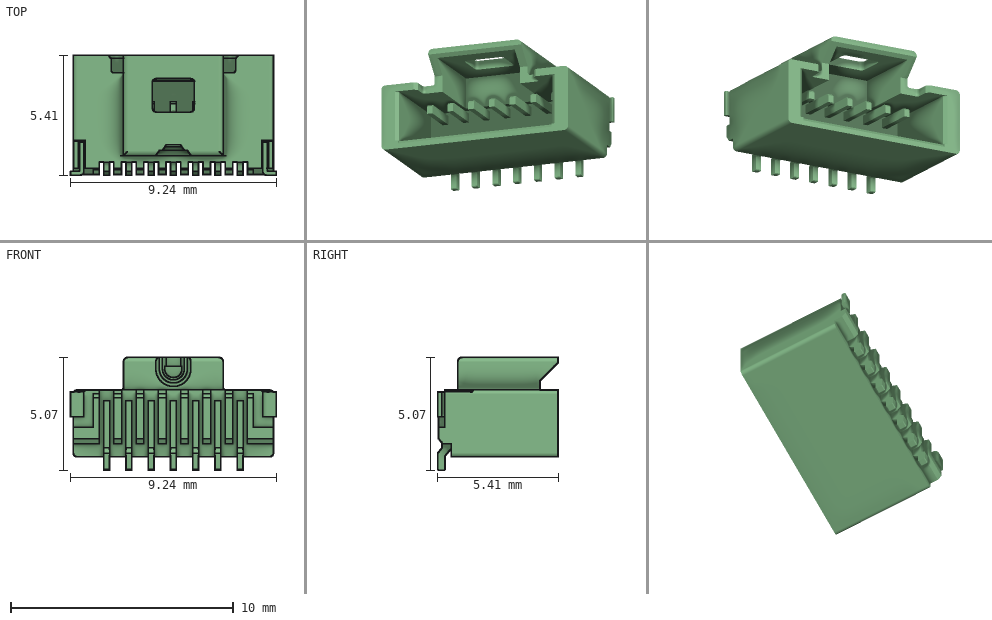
import cadquery as cq


lead_count = 7
lead_span = 6.0
lead_pitch = lead_span / (lead_count - 1)
lead_width = 0.27
lead_thickness = 0.41
lead_top = 3.12
lead_bend_top = 1.01
lead_bend_drop = 0.24
lead_heel_top = 0.95
lead_heel_bottom = 0.65
foot_thickness = 0.34
lead_tip_chamfer = 0.04
pin_end = -2.1
pin_chamfer = 0.09

total_width = 9.24
rear_end = -5.41
housing_width = 8.99
housing_bottom = 0.6
housing_top = 3.6
housing_round = 0.185
slot_floor_y = -4.805

rib_rear = -5.37
rib_top_rear = -5.09
rib_bottom_rear = -5.18
rib_lip = 0.05
rib_ledge_z = 3.44
rib_shoulder_z = 3.25
rib_bevel_z = 1.42
rib_bottom = 1.18
slot_width = 0.65
corner_inner_x = 3.585
corner_ledge_z = 1.93

top = 5.07
hood_width = 4.48
hood_rear = -4.51
hood_round = 0.21
hood_lip = 0.25
throat_depth = 0.8
hood_root = 0.11

cavity_width = 7.39
cavity_floor = 0.97
cavity_top = 3.26
cavity_depth = 4.07
mouth_chamfer = 0.15
throat_width = 5.59
throat_round = 0.14
hood_cavity_width = 3.73
hood_cavity_depth = 3.7
hood_roof = 0.41
floor_step_y = -1.13
floor_step = 0.06

window_width = 1.885
window_front = -1.05
window_rear = -2.56
window_round = 0.185

notch_drop = 0.53
notch_mouth_radius = 0.79
notch_ring_outer = 0.63
notch_ring_inner = 0.49
notch_end_radius = 0.32
notch_ring_depth = 0.23
notch_floor_depth = 0.39
notch_end_depth = 0.48
notch_ledge_drop = 0.41

tab_thickness = 0.19
tab_inner_x = 4.01
tab_front = -3.91
tab_bottom = 2.39
tab_top = 3.52
tab_inner_radius = 0.05
tab_end_round = 0.04
tab_slot_clearance = 0.07
recess_inner_x = 3.955
recess_outer_x = 4.46
recess_front = -3.82
recess_bevel = 0.06

lead_positions = [i * lead_pitch - lead_span / 2 for i in range(lead_count)]


def box(x0, x1, y0, y1, z0, z1):
    return cq.Workplane("XY").box(x1 - x0, y1 - y0, z1 - z0, centered=False).translate((x0, y0, z0))


def side_profile(points, x0, x1):
    """Extrude a (y, z) outline between two X positions."""
    return cq.Workplane("YZ").polyline(points).close().extrude(x1 - x0).translate((x0, 0, 0))


def both_sides(solid):
    return solid.union(solid.mirror("YZ"))


def make_housing():
    half = housing_width / 2
    shell = box(-half, half, slot_floor_y, 0, housing_bottom, housing_top)
    ribs = side_profile(
        [
            (slot_floor_y, housing_top),
            (rib_top_rear, housing_top),
            (rib_top_rear, rib_ledge_z),
            (rib_top_rear - rib_lip, rib_ledge_z),
            (rib_rear, rib_shoulder_z),
            (rib_rear, rib_bevel_z),
            (rib_bottom_rear, rib_bottom),
            (slot_floor_y, rib_bottom),
        ],
        -half,
        half,
    )
    body = shell.union(ribs)
    rounded_bar = box(-half, half, rear_end, 0, housing_bottom, housing_top).edges("|Y").fillet(housing_round)
    body = body.intersect(rounded_bar)
    for x in lead_positions:
        body = body.cut(box(x - slot_width / 2, x + slot_width / 2, rear_end, slot_floor_y, 0, top))
    corner = box(corner_inner_x, half, rear_end, rib_top_rear, corner_ledge_z, top)
    return body.cut(both_sides(corner))


def make_hood():
    half = hood_width / 2
    block = box(-half, half, hood_rear, 0, housing_top, top)
    block = block.edges("(|Y or <Y) and >Z").fillet(hood_round)
    undercut_z = top - hood_lip
    throat_z = undercut_z - throat_depth
    undercut = side_profile(
        [(0, undercut_z), (-throat_depth, throat_z), (-throat_depth, 0), (0, 0)],
        -half,
        half,
    )
    root = (
        cq.Workplane("XZ", origin=(0, -throat_depth, 0))
        .moveTo(half, housing_top + hood_root)
        .radiusArc((half + hood_root, housing_top), -hood_root)
        .lineTo(half, housing_top)
        .close()
        .extrude(-throat_depth - hood_rear)
    )
    return block.cut(undercut).union(both_sides(root))


def flared_slot(width, z0, z1, depth):
    """A box open at the mating face, with its two sides flared at the mouth."""
    half = width / 2
    flare = half + mouth_chamfer
    return (
        cq.Workplane("XY", origin=(0, 0, z0))
        .polyline(
            [
                (-flare, 0),
                (-half, -mouth_chamfer),
                (-half, -depth),
                (half, -depth),
                (half, -mouth_chamfer),
                (flare, 0),
            ]
        )
        .close()
        .extrude(z1 - z0)
    )


def make_cavity():
    main = flared_slot(cavity_width, cavity_floor, cavity_top, cavity_depth)
    half = cavity_width / 2
    floor_flare = side_profile(
        [(0, cavity_floor), (0, cavity_floor - mouth_chamfer), (-mouth_chamfer, cavity_floor)],
        -half,
        half,
    )
    throat = flared_slot(throat_width, cavity_floor, housing_top, throat_depth)
    throat = throat.edges("|Z and <Y").fillet(throat_round)
    hood_half = hood_cavity_width / 2
    hood_room = box(-hood_half, hood_half, -hood_cavity_depth, 0, cavity_floor, top - hood_roof)
    step_z = cavity_floor - floor_step
    floor_drop = side_profile(
        [
            (floor_step_y, cavity_floor),
            (floor_step_y - floor_step, step_z),
            (-hood_cavity_depth, step_z),
            (-hood_cavity_depth, cavity_floor),
        ],
        -hood_half,
        hood_half,
    )
    return main.union(floor_flare).union(hood_room).union(floor_drop), throat


def make_window():
    half = window_width / 2
    opening = box(-half, half, window_rear, window_front, top - hood_roof, top)
    return opening.edges("|Z").fillet(window_round)


def tapered_notch(outer_radius, inner_radius, start_depth, end_depth):
    """A U-shaped cut, open at the top, narrowing from the hood's rear face inward."""
    start_y = hood_rear + start_depth
    end_y = hood_rear + end_depth
    center_z = top - notch_drop
    cone = cq.Workplane(
        cq.Solid.makeCone(
            outer_radius, inner_radius, end_y - start_y, cq.Vector(0, start_y, center_z), cq.Vector(0, 1, 0)
        )
    )
    straight = (
        cq.Workplane("XY", origin=(0, 0, center_z))
        .polyline(
            [(-outer_radius, start_y), (-inner_radius, end_y), (inner_radius, end_y), (outer_radius, start_y)]
        )
        .close()
        .extrude(notch_drop)
    )
    return cone.union(straight)


def make_notch():
    entry = tapered_notch(notch_mouth_radius, notch_ring_outer, 0, notch_ring_depth)
    inner = tapered_notch(notch_ring_inner, notch_end_radius, notch_ring_depth, notch_end_depth)
    ledge_z = top - notch_ledge_drop
    step = box(
        -notch_ring_inner,
        notch_ring_inner,
        hood_rear + notch_floor_depth,
        hood_rear + notch_end_depth,
        housing_top,
        ledge_z,
    )
    return entry.union(inner.cut(step))


def make_tab_pocket():
    """Shallow recess in the top, with a slot for the tab's leg below it."""
    recess = box(recess_inner_x, recess_outer_x, rib_top_rear, recess_front, tab_top, top)
    recess = recess.edges("<Z and (<X or >Y)").chamfer(recess_bevel)
    leg_outer_x = tab_inner_x + tab_thickness
    slot = box(
        tab_inner_x,
        leg_outer_x + tab_slot_clearance,
        rib_top_rear,
        tab_front + tab_slot_clearance / 2,
        tab_bottom,
        top,
    )
    return both_sides(recess.union(slot))


def make_tab():
    leg_outer_x = tab_inner_x + tab_thickness
    foot_front = rear_end + tab_thickness
    tab = (
        cq.Workplane("XY", origin=(0, 0, tab_bottom))
        .polyline(
            [
                (tab_inner_x, tab_front),
                (tab_inner_x, rear_end),
                (total_width / 2, rear_end),
                (total_width / 2, foot_front),
                (leg_outer_x, foot_front),
                (leg_outer_x, tab_front),
            ]
        )
        .close()
        .extrude(tab_top - tab_bottom)
    )
    inside_corner = cq.selectors.NearestToPointSelector((leg_outer_x, foot_front, tab_bottom))
    outside_corner = cq.selectors.NearestToPointSelector((tab_inner_x, rear_end, tab_bottom))
    tab = tab.edges("|Z and >X").fillet(tab_end_round)
    tab = tab.edges("|Z").edges(inside_corner).fillet(tab_inner_radius)
    tab = tab.edges("|Z").edges(outside_corner).fillet(tab_thickness)
    return both_sides(tab)


def make_lead(x):
    tail_rear = slot_floor_y - lead_thickness
    foot_front = rear_end + foot_thickness
    pin_bottom = lead_top - lead_thickness
    return side_profile(
        [
            (pin_end, pin_bottom),
            (pin_end, lead_top - pin_chamfer),
            (pin_end - pin_chamfer, lead_top),
            (tail_rear, lead_top),
            (tail_rear, lead_bend_top),
            (rear_end, lead_bend_top - lead_bend_drop),
            (rear_end, lead_tip_chamfer),
            (rear_end + lead_tip_chamfer, 0),
            (foot_front - lead_tip_chamfer, 0),
            (foot_front, lead_tip_chamfer),
            (foot_front, lead_heel_bottom),
            (slot_floor_y, lead_heel_top),
            (slot_floor_y, pin_bottom),
        ],
        x - lead_width / 2,
        x + lead_width / 2,
    )


cavity, throat = make_cavity()
result = make_housing().cut(throat).union(make_hood())
result = result.cut(cavity).cut(make_window()).cut(make_notch())
result = result.cut(make_tab_pocket()).union(make_tab())
for x in lead_positions:
    result = result.union(make_lead(x))